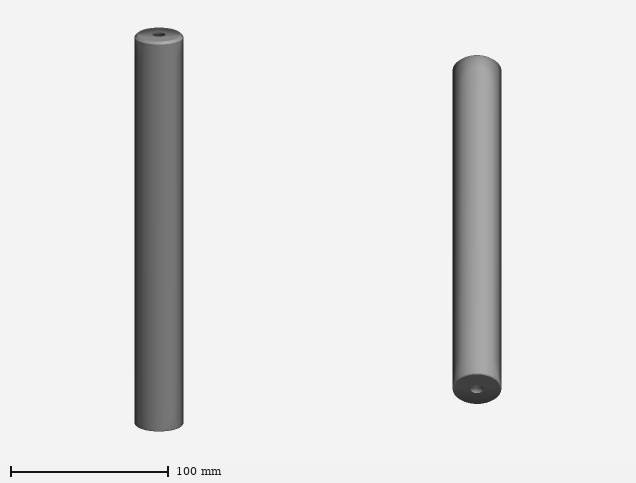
import cadquery as cq

length = 260.0
outer_diameter = 31.0
bore_diameter = 8.0
top_chamfer = 1.5
bottom_chamfer = 0.5


def make_rod():
    """Round rod with a 45 degree chamfer at each end and a through bore along Z."""
    rod = cq.Workplane("XY").circle(outer_diameter / 2).extrude(length)
    rod = rod.faces(">Z").chamfer(top_chamfer)
    rod = rod.faces("<Z").chamfer(bottom_chamfer)
    bore = cq.Workplane("XY").circle(bore_diameter / 2).extrude(length)
    return rod.cut(bore)


rod = make_rod()

result = cq.Compound.makeCompound([*rod.solids().vals()])